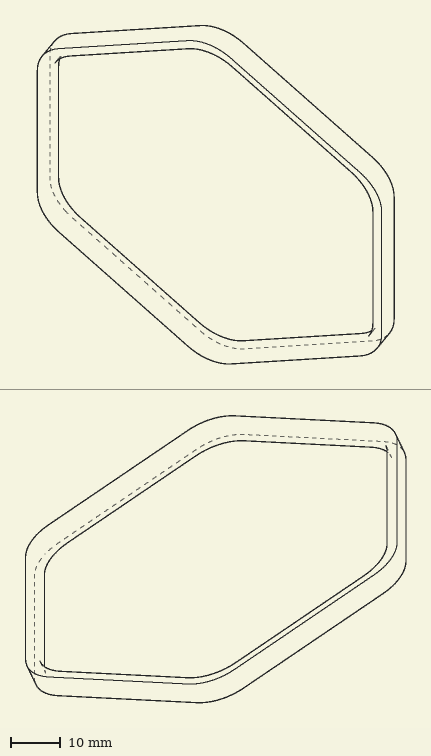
import cadquery as cq
import math

ACROSS_FLATS = 80.0
DEPTH = 5.0
WALL = 2.5
CORNER_RADIUS = 10.0
OPENING_RIM_RADIUS = 1.0

SIDES = 6
CORNER_UP_ANGLE = 90.0


def rounded_hexagon(across_flats):
    """Hexagonal prism along Y, centred on the origin, with rounded corners."""
    across_corners = across_flats / math.cos(math.pi / SIDES)
    return (
        cq.Workplane("XZ")
        .transformed(rotate=(0, 0, CORNER_UP_ANGLE))
        .polygon(SIDES, across_corners)
        .extrude(DEPTH / 2, both=True)
        .edges("|Y")
        .fillet(CORNER_RADIUS)
    )


def round_opening_rims(ring):
    """Round the front and back rims of the opening; the outer edges stay sharp."""
    rim_edges = []
    for end_face in ring.faces("<Y or >Y").vals():
        for rim in end_face.innerWires():
            rim_edges.extend(rim.Edges())
    return ring.newObject(rim_edges).fillet(OPENING_RIM_RADIUS)


outer_body = rounded_hexagon(ACROSS_FLATS)
opening = rounded_hexagon(ACROSS_FLATS - 2 * WALL)

result = round_opening_rims(outer_body.cut(opening))